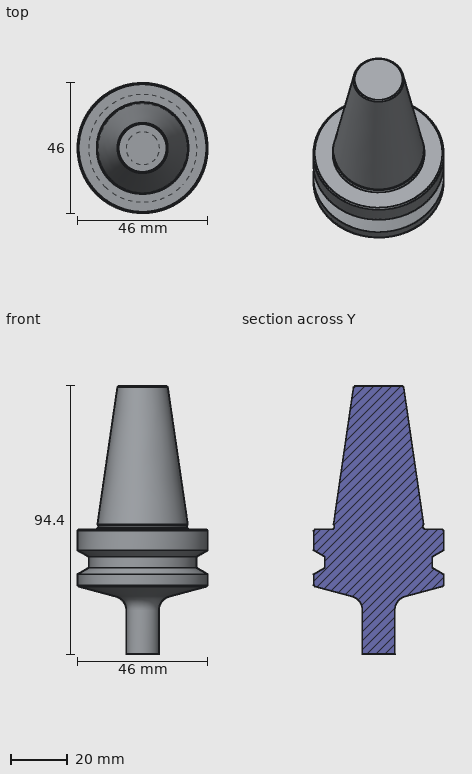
import cadquery as cq
import math


total_height = 94.4

pin_radius = 11.6 / 2
pin_top = 15.6
fillet_radius = 4.8
cone_angle = math.radians(15)

flange_radius = 46.0 / 2
flange_top = 44.0
flange_edge_break = 0.6
lower_rim_top = 28.1
upper_rim_bottom = 36.5
groove_radius = 38.0 / 2
groove_side_angle = math.radians(30)

taper_bottom = 45.7
taper_base_radius = 16.0
taper_slope = 7 / 24 / 2
relief_radius = 31.3 / 2
relief_foot_radius = 16.2
relief_bottom = 44.6
relief_top = 45.2
end_chamfer = 0.5

fillet_center_r = pin_radius + fillet_radius


def fillet_point(angle):
    """Point (r, z) on the fillet, at an angle above the pin tangent point."""
    return (
        fillet_center_r - fillet_radius * math.cos(angle),
        pin_top + fillet_radius * math.sin(angle),
    )


fillet_end_angle = math.pi / 2 - cone_angle
fillet_end = fillet_point(fillet_end_angle)
fillet_middle = fillet_point(fillet_end_angle / 2)

rim_inset_radius = flange_radius - flange_edge_break
cone_top = fillet_end[1] + (rim_inset_radius - fillet_end[0]) * math.tan(cone_angle)
groove_side_height = (flange_radius - groove_radius) * math.tan(groove_side_angle)
taper_end_radius = taper_base_radius - (total_height - taper_bottom) * taper_slope
chamfer_start_radius = taper_end_radius + end_chamfer * taper_slope

profile = (
    cq.Workplane("XZ")
    .moveTo(0, 0)
    .lineTo(pin_radius, 0)
    .lineTo(pin_radius, pin_top)
    .threePointArc(fillet_middle, fillet_end)
    .lineTo(rim_inset_radius, cone_top)
    .lineTo(flange_radius, cone_top + flange_edge_break)
    .lineTo(flange_radius, lower_rim_top)
    .lineTo(groove_radius, lower_rim_top + groove_side_height)
    .lineTo(groove_radius, upper_rim_bottom - groove_side_height)
    .lineTo(flange_radius, upper_rim_bottom)
    .lineTo(flange_radius, flange_top - flange_edge_break)
    .lineTo(rim_inset_radius, flange_top)
    .lineTo(relief_foot_radius, flange_top)
    .lineTo(relief_radius, relief_bottom)
    .lineTo(relief_radius, relief_top)
    .lineTo(taper_base_radius, taper_bottom)
    .lineTo(chamfer_start_radius, total_height - end_chamfer)
    .lineTo(taper_end_radius - end_chamfer, total_height)
    .lineTo(0, total_height)
    .close()
)
result = profile.revolve(360, (0, 0, 0), (0, 1, 0))